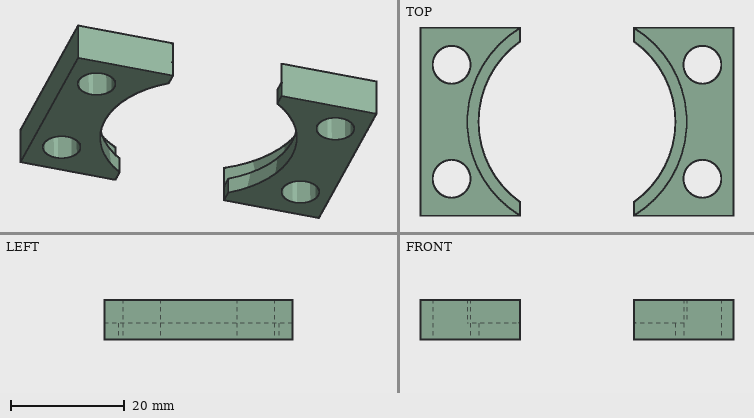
import cadquery as cq

overall_length = 55.0
block_depth = 33.0
block_height = 7.0
gap = 20.0
block_width = (overall_length - gap) / 2
block_center_x = (gap + block_width) / 2

seat_radius = 19.25
lip_width = 2.0
lip_radius = seat_radius - lip_width
lip_height = 3.0

hole_diameter = 6.6
hole_spacing_x = 44.0
hole_spacing_y = 20.0


def round_cutter(radius, bottom_z):
    """Cylinder on the Z axis from bottom_z up to the top of the blocks."""
    return cq.Workplane("XY").workplane(offset=bottom_z).circle(radius).extrude(block_height - bottom_z)


def screw_hole_cutters():
    """Cylinders for the screw holes of both blocks."""
    return (
        cq.Workplane("XY")
        .rarray(hole_spacing_x, hole_spacing_y, 2, 2)
        .circle(hole_diameter / 2)
        .extrude(block_height)
    )


def clamp_block(side):
    """One half of the ring clamp; side is -1 for the -X half and +1 for the +X half."""
    block = (
        cq.Workplane("XY")
        .center(side * block_center_x, 0)
        .rect(block_width, block_depth)
        .extrude(block_height)
    )
    block = block.cut(round_cutter(lip_radius, 0))
    block = block.cut(round_cutter(seat_radius, lip_height))
    return block.cut(screw_hole_cutters())


clamp_blocks = [clamp_block(side).val() for side in (-1, 1)]

result = cq.Compound.makeCompound(clamp_blocks)